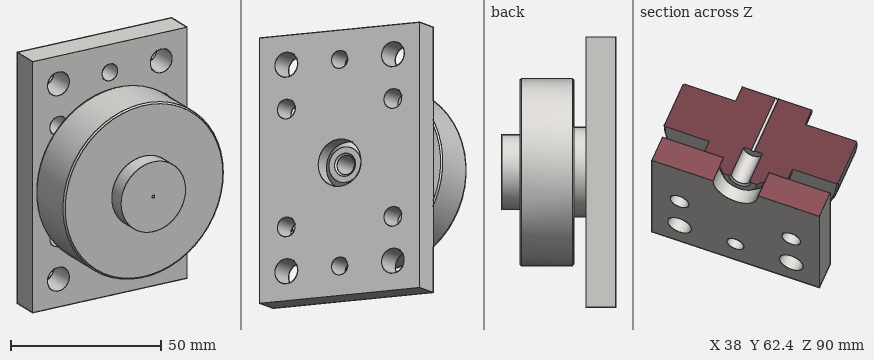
import cadquery as cq

plate_thickness = 10.0
plate_width = 60.0
plate_height = 90.0
bolt_hole_diameter = 8.5
dowel_hole_diameter = 6.0
inner_hole_diameter = 6.7
hole_spacing_y = 40.0
outer_hole_spacing_z = 70.0
inner_hole_spacing_z = 40.0

pin_diameter = 16.0
pin_recess = 4.0
pin_chamfer = 2.0
shoulder_diameter = 30.0
shoulder_length = 4.0
roller_diameter = 62.4
roller_length = 18.0
roller_chamfer = 0.5
hub_diameter = 25.0
hub_length = 6.0

bore_diameter = 6.6
bore_depth = 12.0
bore_mouth_diameter = 7.8
channel_diameter = 1.0

shoulder_start = plate_thickness
roller_start = shoulder_start + shoulder_length
hub_start = roller_start + roller_length
hub_end = hub_start + hub_length


def cylinder(start, end, diameter):
    """Cylinder on the X axis between two X positions."""
    return cq.Workplane("YZ", origin=(start, 0, 0)).circle(diameter / 2).extrude(end - start)


def make_plate():
    """Rectangular plate with the pin seat and its mounting holes."""
    plate = cq.Workplane("YZ").rect(plate_width, plate_height).extrude(plate_thickness)
    plate = plate.cut(cylinder(0, plate_thickness, pin_diameter))

    bolt_points = cq.Workplane("YZ").rect(hole_spacing_y, outer_hole_spacing_z, forConstruction=True)
    bolt_holes = bolt_points.vertices().circle(bolt_hole_diameter / 2).extrude(plate_thickness)

    inner_points = cq.Workplane("YZ").rect(hole_spacing_y, inner_hole_spacing_z, forConstruction=True)
    inner_holes = inner_points.vertices().circle(inner_hole_diameter / 2).extrude(plate_thickness)

    dowel_points = [(0, side * outer_hole_spacing_z / 2) for side in (-1, 1)]
    dowel_holes = cq.Workplane("YZ").pushPoints(dowel_points)
    dowel_holes = dowel_holes.circle(dowel_hole_diameter / 2).extrude(plate_thickness)

    return plate.cut(bolt_holes).cut(inner_holes).cut(dowel_holes)


def make_lubrication_bore():
    """Countersunk blind bore that continues as a fine channel to the hub face."""
    bore = cylinder(pin_recess, pin_recess + bore_depth, bore_diameter)
    mouth_depth = (bore_mouth_diameter - bore_diameter) / 2
    mouth_profile = cq.Workplane("XY").polyline([
        (pin_recess, 0),
        (pin_recess, bore_mouth_diameter / 2),
        (pin_recess + mouth_depth, bore_diameter / 2),
        (pin_recess + mouth_depth, 0),
    ]).close()
    mouth = mouth_profile.revolve(360, (0, 0, 0), (1, 0, 0))
    channel = cylinder(pin_recess, hub_end, channel_diameter)
    return bore.union(mouth).union(channel)


def make_bearing():
    """Roller with its shoulder, hub and the pin seated in the plate."""
    pin = cylinder(pin_recess, shoulder_start, pin_diameter).faces("<X").chamfer(pin_chamfer)
    shoulder = cylinder(shoulder_start, roller_start, shoulder_diameter)
    roller = cylinder(roller_start, hub_start, roller_diameter).faces("<X or >X").chamfer(roller_chamfer)
    hub = cylinder(hub_start, hub_end, hub_diameter)
    bearing = pin.union(shoulder).union(roller).union(hub)
    return bearing.cut(make_lubrication_bore())


plate = make_plate()
bearing = make_bearing()

result = cq.Compound.makeCompound([plate.val(), bearing.val()])